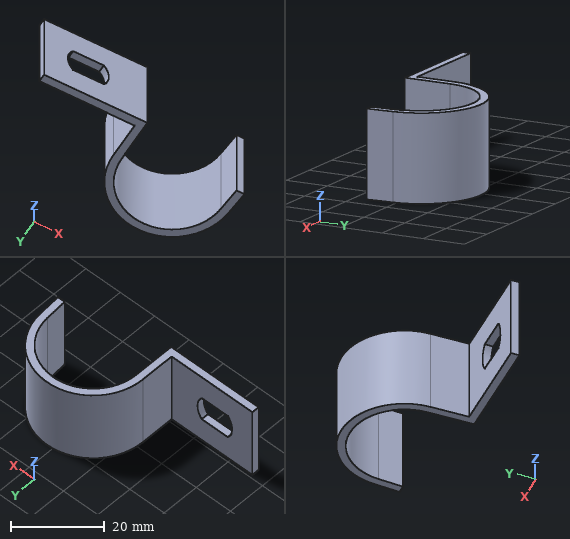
import cadquery as cq
import math

total_length = 52.9
total_depth = 25.5
strap_width = 20.0
thickness = 2.0
outer_radius = 14.5
flange_length = 25.5
free_end_y = 6.0
hole_x = 10.95
hole_diameter = 10.05
hole_height = 6.6

inner_radius = outer_radius - thickness
leg_outer_x = flange_length - thickness
center_x = leg_outer_x + outer_radius
center_y = total_depth - outer_radius

tip_dx = total_length - center_x
tip_dy = free_end_y - center_y
tip_distance = math.hypot(tip_dx, tip_dy)
leg_tilt = math.atan2(tip_dy, tip_dx) + math.acos(outer_radius / tip_distance)
inner_tip_x = total_length - thickness / math.cos(leg_tilt)


def arc_point(radius, angle):
    """Point on a circle about the strap's bend axis."""
    return (center_x + radius * math.cos(angle), center_y + radius * math.sin(angle))


def make_strap():
    """Flange, upright leg, bend and tilted free leg as one extruded profile."""
    top = math.pi / 2
    return (
        cq.Workplane("XY")
        .moveTo(0, 0)
        .lineTo(flange_length, 0)
        .lineTo(flange_length, center_y)
        .threePointArc(arc_point(inner_radius, top), arc_point(inner_radius, leg_tilt))
        .lineTo(inner_tip_x, free_end_y)
        .lineTo(total_length, free_end_y)
        .lineTo(*arc_point(outer_radius, leg_tilt))
        .threePointArc(arc_point(outer_radius, top), (leg_outer_x, center_y))
        .lineTo(leg_outer_x, thickness)
        .lineTo(0, thickness)
        .close()
        .extrude(strap_width)
    )


def make_hole_cutter():
    """Round hole through the flange with flat top and bottom edges."""
    plane = cq.Workplane("XZ").center(hole_x, strap_width / 2)
    round_cutter = plane.circle(hole_diameter / 2).extrude(-thickness)
    flats = plane.rect(hole_diameter, hole_height).extrude(-thickness)
    return round_cutter.intersect(flats)


result = make_strap().cut(make_hole_cutter())